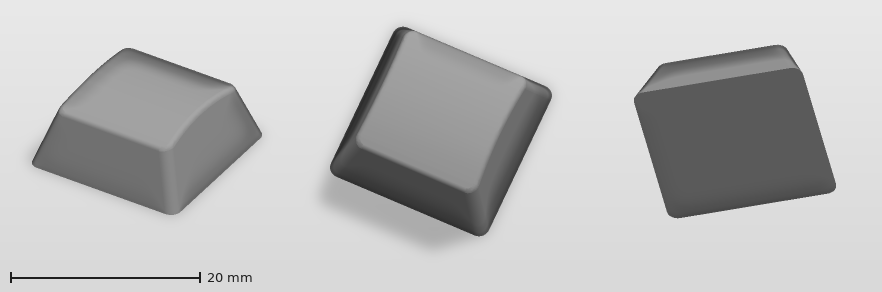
import cadquery as cq

base_size = 18.3
height = 7.5

top_width = 13.38
top_depth = 13.56

corner_radius = 1.25
rim_radius = 0.62

crown_radius = 25.62


def tapered_slab(plane, top_size):
    """Trapezoid, wide at the base, extruded to the base size across the plane."""
    half_base = base_size / 2
    half_top = top_size / 2
    return (
        cq.Workplane(plane)
        .polyline([(-half_base, 0), (half_base, 0), (half_top, height), (-half_top, height)])
        .close()
        .extrude(half_base, both=True)
    )


def tapered_block():
    """Block whose four flat walls lean inward from the square base."""
    return tapered_slab("XZ", top_width).intersect(tapered_slab("YZ", top_depth))


def crown_cylinder():
    """Cylinder along X, as long as the base, touching the full height."""
    return (
        cq.Workplane("YZ")
        .center(0, height - crown_radius)
        .circle(crown_radius)
        .extrude(base_size / 2, both=True)
    )


def wall_corner_edges(body):
    """The four slanted edges where neighbouring walls meet."""
    corner_reach = base_size / 4
    return [
        edge
        for edge in body.edges().vals()
        if min(abs(edge.Center().x), abs(edge.Center().y)) > corner_reach
    ]


keycap = tapered_block().intersect(crown_cylinder())

keycap = keycap.newObject(wall_corner_edges(keycap)).fillet(corner_radius)

result = keycap.faces(">Z").edges().fillet(rim_radius)